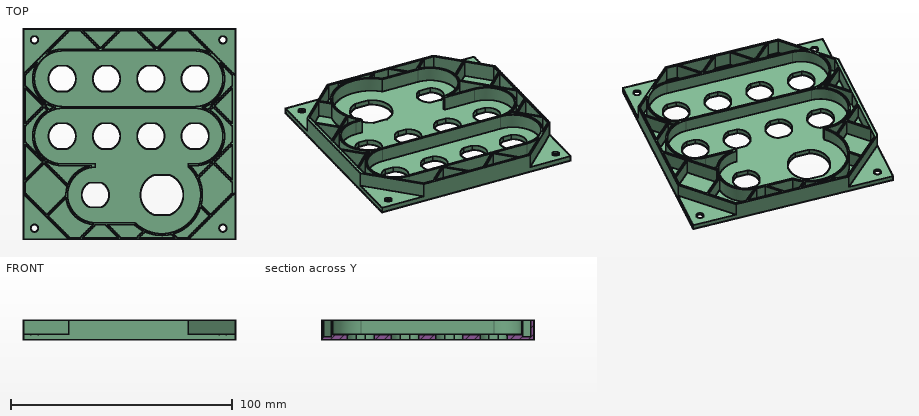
import cadquery as cq
import math

plate_side = 95.0
right_extension = 0.75
base_thickness = 2.5
pocket_floor = 2.5
rib_floor = 1.5
total_height = 9.0
wall = 0.8
corner_cut = 20.5
mount_hole_diameter = 3.25
mount_hole_spacing = 85.0
head_recess_diameter = 6.0
head_recess_web = 1.0

column_pitch = 20.0
columns = 4
upper_row_y = 24.95
row_pitch = 25.9
lower_row_y = upper_row_y - row_pitch
bottom_row_y = -27.5
jack_x = -15.0
jack_diameter = 12.25
jack_flats = 11.5
bottom_jack_flats = 11.0
socket_x = 15.0
socket_diameter = 19.25
socket_flats = 18.0

row_wall_radius = row_pitch / 2
socket_wall_radius = 17.9
passage_right_x = 26.9

rib_offset_step = 25.45
rib_steps = 2

half_side = plate_side / 2
half_row = column_pitch * (columns - 1) / 2


def block(x_min, x_max, y_min, y_max):
    """Block of the full part height between the given limits."""
    return (
        cq.Workplane("XY")
        .moveTo((x_min + x_max) / 2, (y_min + y_max) / 2)
        .rect(x_max - x_min, y_max - y_min)
        .extrude(total_height)
    )


def disc(x, y, radius):
    """Disc of the full part height centred at x, y."""
    return cq.Workplane("XY", origin=(x, y, 0)).circle(radius).extrude(total_height)


def octagon(inset=0, right_extra=0):
    """Full-height block with 45 degree corners, all its sides moved inwards by inset.

    The +X side is then moved outwards by right_extra.
    """
    low = -half_side + inset
    high = half_side - inset
    right = high + right_extra
    corner_distance = (plate_side - corner_cut) / math.sqrt(2) - inset
    square_side = 2 * corner_distance
    diamond = (
        cq.Workplane("XY")
        .rect(square_side, square_side)
        .extrude(total_height)
        .rotate((0, 0, 0), (0, 0, 1), 45)
    )
    return block(low, right, low, high).intersect(diamond)


def row_area(y, offset):
    """Stadium around one row of jacks, grown by offset from the wall centreline."""
    radius = row_wall_radius + offset
    area = block(-half_row, half_row, y - radius, y + radius)
    return area.union(disc(-half_row, y, radius)).union(disc(half_row, y, radius))


def bottom_area(offset):
    """Area around the bottom jack and the large socket."""
    radius = row_wall_radius + offset
    area = disc(jack_x, bottom_row_y, radius)
    area = area.union(disc(socket_x, bottom_row_y, socket_wall_radius + offset))
    return area.union(block(jack_x, socket_x, bottom_row_y - radius, bottom_row_y))


def pocket_areas(offset):
    """The two rows and the bottom area together."""
    return row_area(upper_row_y, offset).union(row_area(lower_row_y, offset)).union(bottom_area(offset))


def make_ribs():
    """Crossing 45 degree ribs that fill the inside of the rim."""
    rib_length = 2 * plate_side
    ribs = cq.Workplane("XY")
    for angle in (45, -45):
        for step in range(-rib_steps, rib_steps + 1):
            shift = step * rib_offset_step / math.sqrt(2)
            rib = block(-rib_length / 2, rib_length / 2, shift - wall / 2, shift + wall / 2)
            ribs = ribs.union(rib.rotate((0, 0, 0), (0, 0, 1), angle))
    return ribs.intersect(octagon())


def flatted_hole(x, y, diameter, flats):
    """Cutter through the floor: a round hole narrowed by flats along Y."""
    round_cutter = cq.Workplane("XY").center(x, y).circle(diameter / 2).extrude(pocket_floor)
    flats_cutter = cq.Workplane("XY").center(x, y).rect(diameter, flats).extrude(pocket_floor)
    return round_cutter.intersect(flats_cutter)


def make_body():
    """Stepped solid: square base plate and the octagonal raised part, not yet hollowed."""
    base = (
        cq.Workplane("XY")
        .center(right_extension / 2, 0)
        .rect(plate_side + right_extension, plate_side)
        .extrude(base_thickness)
    )
    return base.union(octagon(right_extra=right_extension))


def hollow_out(body):
    """Clear the spaces between the ribs and the insides of the pockets."""
    rib_spaces = octagon(wall).cut(make_ribs()).cut(pocket_areas(wall / 2))
    passage = block(jack_x, passage_right_x, bottom_row_y, lower_row_y)
    pockets = pocket_areas(-wall / 2).union(passage)
    body = body.cut(rib_spaces.cut(passage).translate((0, 0, rib_floor)))
    return body.cut(pockets.translate((0, 0, pocket_floor)))


def cut_mount_holes(body):
    """Corner screw holes, each with a round recess in the underside."""
    corners = cq.Workplane("XY").rect(mount_hole_spacing, mount_hole_spacing, forConstruction=True).vertices()
    holes = corners.circle(mount_hole_diameter / 2).extrude(base_thickness)
    recesses = corners.circle(head_recess_diameter / 2).extrude(base_thickness - head_recess_web)
    return body.cut(holes).cut(recesses)


def cut_openings(body):
    """Openings for the two rows of jacks, the bottom jack and the large socket."""
    for y in (upper_row_y, lower_row_y):
        for column in range(columns):
            x = column * column_pitch - half_row
            body = body.cut(flatted_hole(x, y, jack_diameter, jack_flats))
    body = body.cut(flatted_hole(jack_x, bottom_row_y, jack_diameter, bottom_jack_flats))
    return body.cut(flatted_hole(socket_x, bottom_row_y, socket_diameter, socket_flats))


result = cut_openings(cut_mount_holes(hollow_out(make_body())))